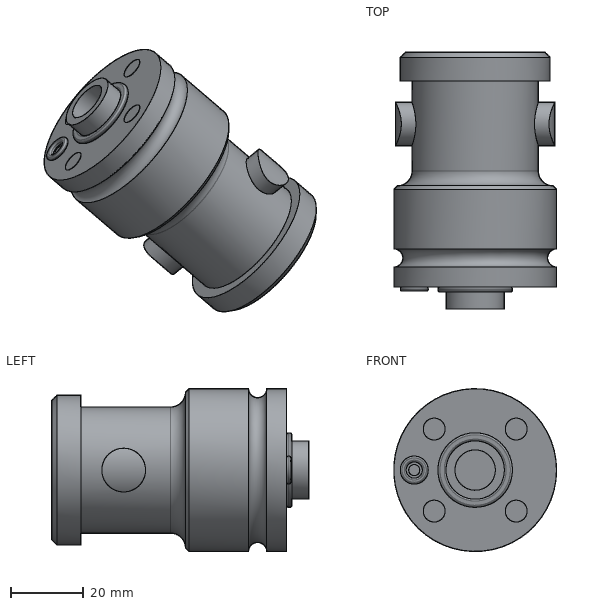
import cadquery as cq

body_diameter = 45.0
body_length = 28.0
body_chamfer = 1.0
groove_start = 5.55
groove_radius = 2.5

neck_diameter = 34.9
flange_diameter = 41.45
flange_thickness = 8.0
flange_chamfer = 1.5

nose_diameter = 16.1
nose_length = 6.1
nose_bore_diameter = 11.15
nose_bore_depth = 5.55
overall_length = 71.0

nose_ring_diameter = 20.6
nose_ring_height = 1.4
port_diameter = 7.75
port_bore_diameter = 3.05
port_height = 1.15
port_ring_inner_diameter = 4.5
port_bore_depth = 2.85
port_offset = 16.8
nose_ring_edge_radius = 0.6
nose_ring_inner_edge_radius = 0.5
port_edge_radius = 0.5

trunnion_diameter = 12.1
trunnion_span = 44.0
trunnion_position = 45.0
trunnion_end_radius = 12.1

mark_diameter = 6.0
mark_spacing = 22.65
mark_depth = 0.1

body_radius = body_diameter / 2
neck_radius = neck_diameter / 2
flange_radius = flange_diameter / 2
rear_face = overall_length - nose_length
flange_start = rear_face - flange_thickness
cove_radius = body_radius - body_chamfer - neck_radius


def cylinder(diameter, start, length, x=0.0):
    """Cylinder along +Y, beginning at y = start."""
    plane = cq.Workplane("XZ", origin=(x, start, 0))
    return plane.circle(diameter / 2).extrude(-length)


def make_body():
    """Body, groove, cove, neck and flange as one revolved profile."""
    groove_middle = groove_start + groove_radius
    cove_centre_x = neck_radius + cove_radius
    cove_centre_y = body_length + cove_radius
    cove_diagonal = cove_radius * 0.5 ** 0.5
    profile = (
        cq.Workplane("XY")
        .lineTo(body_radius, 0)
        .lineTo(body_radius, groove_start)
        .threePointArc(
            (body_radius - groove_radius, groove_middle),
            (body_radius, groove_middle + groove_radius),
        )
        .lineTo(body_radius, body_length - body_chamfer)
        .lineTo(body_radius - body_chamfer, body_length)
        .threePointArc(
            (cove_centre_x - cove_diagonal, cove_centre_y - cove_diagonal),
            (neck_radius, cove_centre_y),
        )
        .lineTo(neck_radius, flange_start)
        .lineTo(flange_radius, flange_start)
        .lineTo(flange_radius, rear_face - flange_chamfer)
        .lineTo(flange_radius - flange_chamfer, rear_face)
        .lineTo(0, rear_face)
        .close()
    )
    return profile.revolve(360, (0, 0, 0), (0, 1, 0))


def make_trunnions():
    """Cross pin trimmed by a cylinder at each end to round its tips."""
    half_span = trunnion_span / 2
    pin = (
        cq.Workplane("YZ", origin=(-half_span, trunnion_position, 0))
        .circle(trunnion_diameter / 2)
        .extrude(trunnion_span)
    )
    start = trunnion_position - trunnion_diameter
    end_offset = half_span - trunnion_end_radius
    envelope = cq.Workplane("XY").box(2 * end_offset, 2 * trunnion_diameter, 2 * trunnion_end_radius)
    envelope = envelope.translate((0, trunnion_position, 0))
    for x in (-end_offset, end_offset):
        envelope = envelope.union(cylinder(2 * trunnion_end_radius, start, 2 * trunnion_diameter, x))
    return pin.intersect(envelope)


def make_rounded_ring(outer_diameter, inner_diameter, height, outer_round, inner_round, x=0.0):
    """Ring on the front face with its outer edges and its front inner edge rounded."""
    ring = cylinder(outer_diameter, -height, height, x)
    ring = ring.edges().fillet(outer_round)
    ring = ring.cut(cylinder(inner_diameter, -height, height, x))
    return ring.faces("<Y").edges(cq.selectors.RadiusNthSelector(0)).fillet(inner_round)


def make_front_marks():
    """Four shallow discs to be cut from the front face."""
    return (
        cq.Workplane("XZ")
        .rect(mark_spacing, mark_spacing, forConstruction=True)
        .vertices()
        .circle(mark_diameter / 2)
        .extrude(-mark_depth)
    )


nose_ring = make_rounded_ring(
    nose_ring_diameter, nose_diameter, nose_ring_height, nose_ring_edge_radius, nose_ring_inner_edge_radius
)
port_ring = make_rounded_ring(
    port_diameter, port_ring_inner_diameter, port_height, port_edge_radius, port_edge_radius, -port_offset
)

result = make_body().union(make_trunnions())
result = result.union(nose_ring).union(port_ring)
result = result.union(cylinder(nose_diameter, -nose_length, nose_length))

result = result.cut(cylinder(nose_bore_diameter, -nose_length, nose_bore_depth))
result = result.cut(cylinder(port_bore_diameter, -port_height, port_bore_depth, -port_offset))
result = result.cut(make_front_marks())